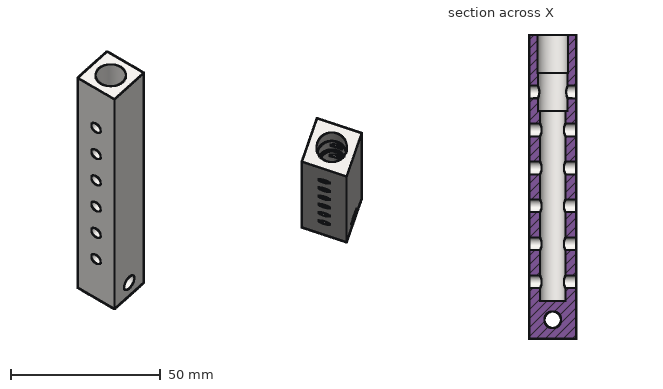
import cadquery as cq

width = 15.8
depth = 15.7
height = 101.6

mouth_diameter = 10.2
mouth_depth = 12.7
middle_diameter = 9.9
middle_depth = 25.4
bore_diameter = 8.4
bore_floor = 12.7

row_count = 6
row_pitch = height / 8
row_diameter = 4.1

pin_diameter = 5.5
pin_height = 6.4


def upright_bore(diameter, floor):
    """Cylinder from the given floor height up to the top face."""
    return cq.Workplane("XY").workplane(offset=floor).circle(diameter / 2).extrude(height - floor)


bar = cq.Workplane("XY").box(width, depth, height, centered=(True, True, False))
bar = bar.cut(upright_bore(bore_diameter, bore_floor))
bar = bar.cut(upright_bore(middle_diameter, height - middle_depth))
bar = bar.cut(upright_bore(mouth_diameter, height - mouth_depth))

first_row_height = (height - (row_count - 1) * row_pitch) / 2
row_centres = [(0, first_row_height + i * row_pitch) for i in range(row_count)]
row_holes = (
    cq.Workplane("XZ")
    .pushPoints(row_centres)
    .circle(row_diameter / 2)
    .extrude(depth / 2, both=True)
)
pin_hole = (
    cq.Workplane("YZ")
    .center(0, pin_height)
    .circle(pin_diameter / 2)
    .extrude(width / 2, both=True)
)

result = bar.cut(row_holes).cut(pin_hole)